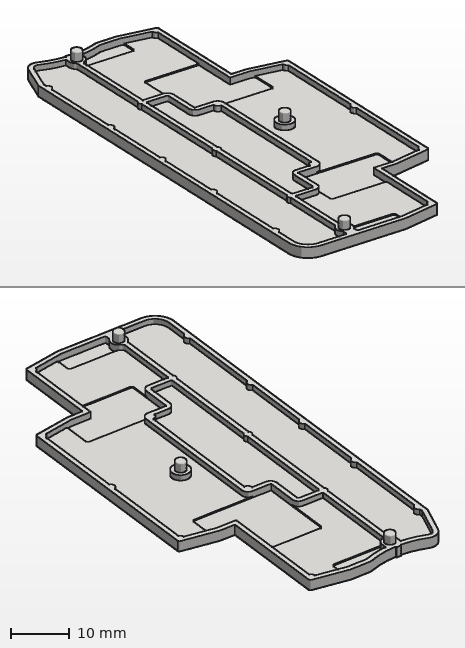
import cadquery as cq
import math

length = 84.4
width = 40.0
pin_top = 4.0
plate_height = 2.1
wall = 1.0
floor_height = 1.0
recess_depth = 0.25

draft = math.tan(math.radians(10))
shoulder_y = 29.2
step_left_x = 22.88
step_right_x = 66.75
side_bend_y = 21.6
step_bend_y = 32.3
side_lean = (shoulder_y - side_bend_y) * draft
step_lean = (width - step_bend_y) * draft
corner_radius = 0.4
end_radius = 4.0

hollow_y = 10.96
hollow_depth = 1.25
hollow_radius = 16.5
upper_bend_radius = 3.0
lower_bend_radius = 2.2
bevel_angle = math.radians(20)

rib = 1.0
rib_y = 10.2
rib_mid_y = rib_y + rib / 2
frame_left_x = 22.2
frame_right_x = 66.7
frame_head_left_x = 29.6
frame_head_right_x = 59.75
frame_shelf_y = 16.7
frame_top_y = 21.9
frame_inner_radius = 0.3
frame_radius = frame_inner_radius + rib

pin_radius = 1.03
pin_rounding = 0.25
boss_radius = 1.6
pin_y = 11.08
left_pin_x = 3.1
right_pin_x = 81.15
boss_web_half = 1.1
web_radius = 0.3
boss_blend_radius = 0.5
center_pin = (42.25, 26.45)
center_boss_radius = 1.8

wall_ejector_radius = 0.85
rib_ejector_radius = 0.75
ejector_wall_inset = 0.7
frame_ejector_inset = 1.1
bottom_ejector_x = [9.05, 27.2, 42.15, 57.15, 75.25]
corner_inset = 0.75

recess_radius = 0.5
large_recess_top_y = 33.3
left_recess_x = 14.8
right_recess_x = 69.5
end_recess_top_y = 22.35
end_recess_left_x = 4.35
end_recess_right_x = 80.0


def hollow_tangent(bend_radius, side):
    """Point where the hollow meets a bend, and the Y of the bend's centre."""
    reach = hollow_radius + bend_radius
    rise = side * math.sqrt(reach**2 - (reach - hollow_depth) ** 2)
    share = bend_radius / reach
    point = (bend_radius - share * (reach - hollow_depth), hollow_y + rise * (1 - share))
    return point, hollow_y + rise


def plate_outline():
    upper_point, upper_y = hollow_tangent(upper_bend_radius, 1)
    lower_point, lower_y = hollow_tangent(lower_bend_radius, -1)
    bevel_x = lower_bend_radius * (1 - math.sin(bevel_angle))
    bevel_y = lower_y - lower_bend_radius * math.cos(bevel_angle)
    arc_mid = end_radius * (1 - math.sqrt(0.5))
    half_turn = math.asin((upper_y - upper_point[1]) / upper_bend_radius) / 2
    upper_mid = (
        upper_bend_radius * (1 - math.cos(half_turn)),
        upper_y - upper_bend_radius * math.sin(half_turn),
    )
    return (
        cq.Workplane("XY")
        .moveTo(bevel_x + bevel_y / math.tan(bevel_angle), 0)
        .lineTo(length - end_radius, 0)
        .threePointArc((length - arc_mid, arc_mid), (length, end_radius))
        .lineTo(length, side_bend_y)
        .lineTo(length - side_lean, shoulder_y)
        .lineTo(step_right_x, shoulder_y)
        .lineTo(step_right_x, step_bend_y)
        .lineTo(step_right_x - step_lean, width)
        .lineTo(step_left_x + step_lean, width)
        .lineTo(step_left_x, step_bend_y)
        .lineTo(step_left_x, shoulder_y)
        .lineTo(side_lean, shoulder_y)
        .lineTo(0, side_bend_y)
        .lineTo(0, upper_y)
        .threePointArc(upper_mid, upper_point)
        .threePointArc((hollow_depth, hollow_y), lower_point)
        .threePointArc((0, lower_y), (bevel_x, bevel_y))
        .close()
    )


def block(x0, x1, y0, y1, height=plate_height):
    return cq.Workplane("XY").box(x1 - x0, y1 - y0, height, centered=False).translate((x0, y0, 0))


def disc(x, y, radius, height=plate_height):
    return cq.Workplane("XY").center(x, y).circle(radius).extrude(height)


def round_corners(body, corners, radius):
    """Fillet the vertical edges that stand at the given XY corners."""
    for x, y in corners:
        selector = cq.selectors.NearestToPointSelector((x, y, body.val().Center().z))
        body = body.edges("|Z").edges(selector).fillet(radius)
    return body


def frame_block(inset, base_y):
    """Stepped block, its sides and top shrunk by inset from the outside of the rib frame."""
    foot = block(frame_left_x + inset, frame_right_x - inset, base_y, frame_shelf_y - inset)
    head = block(frame_head_left_x + inset, frame_head_right_x - inset, base_y, frame_top_y - inset)
    return foot.union(head).clean()


def ribs():
    shelf_corners = [(frame_left_x, frame_shelf_y), (frame_right_x, frame_shelf_y)]
    top_corners = [(frame_head_left_x, frame_top_y), (frame_head_right_x, frame_top_y)]
    frame = round_corners(frame_block(0, rib_mid_y), shelf_corners + top_corners, frame_radius)

    opening_y = rib_y + rib
    inner_shelf_y = frame_shelf_y - rib
    opening = frame_block(rib, opening_y)
    foot_sides = (frame_left_x + rib, frame_right_x - rib)
    head_sides = (frame_head_left_x + rib, frame_head_right_x - rib)
    foot_corners = [(x, y) for x in foot_sides for y in (opening_y, inner_shelf_y)]
    opening = round_corners(opening, foot_corners, frame_inner_radius)
    opening = round_corners(opening, [(x, inner_shelf_y) for x in head_sides], frame_radius)
    return frame.cut(opening).union(block(wall, length - wall, rib_y, rib_y + rib))


def end_bosses():
    left_web = block(hollow_depth, left_pin_x, pin_y - boss_radius, pin_y + boss_radius)
    right_web = block(right_pin_x, length - wall, pin_y - boss_web_half, pin_y + boss_web_half)
    return (
        left_web.union(right_web)
        .union(disc(left_pin_x, pin_y, boss_radius))
        .union(disc(right_pin_x, pin_y, boss_radius))
    )


def ribs_with_bosses():
    """Ribs and end bosses, blended where the long rib runs into each boss."""
    body = ribs().union(end_bosses())
    corners = []
    for y in (rib_y, rib_y + rib):
        reach = math.sqrt(boss_radius**2 - (y - pin_y) ** 2)
        corners.append((left_pin_x + reach, y))
        corners.append((right_pin_x - reach, y))
    return round_corners(body, corners, boss_blend_radius)


def ejectors():
    side_x = side_lean + corner_inset
    shoulder_row_y = shoulder_y - corner_inset
    step_x = step_lean + corner_inset
    top_row_y = width - ejector_wall_inset
    head_row_y = frame_top_y - frame_ejector_inset
    wall_places = [(x, ejector_wall_inset) for x in bottom_ejector_x]
    wall_places += [
        ((step_left_x + step_right_x) / 2, top_row_y),
        (step_left_x + step_x, top_row_y),
        (step_right_x - step_x, top_row_y),
        (side_x, shoulder_row_y),
        (length - side_x, shoulder_row_y),
        (frame_head_left_x + frame_ejector_inset, head_row_y),
        (frame_head_right_x - frame_ejector_inset, head_row_y),
    ]
    rib_places = [
        (frame_left_x + rib / 2, rib_mid_y),
        ((frame_left_x + frame_right_x) / 2, rib_mid_y),
        (frame_right_x - rib / 2, rib_mid_y),
    ]
    pads = cq.Workplane("XY")
    for x, y in wall_places:
        pads = pads.union(disc(x, y, wall_ejector_radius))
    for x, y in rib_places:
        pads = pads.union(disc(x, y, rib_ejector_radius))
    return pads.intersect(plate_outline().extrude(plate_height))


def recess(x0, x1, y0, y1, rounded_corners):
    pocket = block(x0, x1, y0, y1, recess_depth)
    return round_corners(pocket, rounded_corners, recess_radius)


def recesses():
    left_top = (frame_head_left_x, large_recess_top_y)
    left_bottom = (left_recess_x, frame_shelf_y)
    right_top = (frame_head_right_x, large_recess_top_y)
    right_bottom = (right_recess_x, frame_shelf_y)
    left_end_top = (end_recess_left_x, end_recess_top_y)
    right_end_top = (end_recess_right_x, end_recess_top_y)
    pockets = (
        recess(left_recess_x, frame_head_left_x, frame_shelf_y, large_recess_top_y, [left_top, left_bottom])
        .union(recess(frame_head_right_x, right_recess_x, frame_shelf_y, large_recess_top_y,
                      [right_top, right_bottom]))
        .union(recess(0, end_recess_left_x, pin_y, end_recess_top_y, [left_end_top]))
        .union(recess(end_recess_right_x, length, pin_y, end_recess_top_y, [right_end_top]))
    )
    return pockets.translate((0, 0, floor_height - recess_depth))


def pin(x, y):
    return disc(x, y, pin_radius, pin_top).faces(">Z").fillet(pin_rounding)


def outer_plate():
    corners = [
        (side_lean, shoulder_y),
        (length - side_lean, shoulder_y),
        (step_left_x + step_lean, width),
        (step_right_x - step_lean, width),
    ]
    return round_corners(plate_outline().extrude(plate_height), corners, corner_radius)


def floor_cavity():
    """Room inside the wall, with the shallow recesses sunk below the floor."""
    inside = plate_outline().offset2D(-wall, "intersection").extrude(plate_height)
    above_floor = block(0, length, 0, width, plate_height - floor_height).translate((0, 0, floor_height))
    return inside.intersect(above_floor.union(recesses()))


result = outer_plate().cut(floor_cavity())
result = result.union(ribs_with_bosses()).union(ejectors())
result = result.union(disc(*center_pin, center_boss_radius))
web_corners = [(length - wall, pin_y + side * boss_web_half) for side in (-1, 1)]
result = round_corners(result, web_corners, web_radius)
for place in (center_pin, (left_pin_x, pin_y), (right_pin_x, pin_y)):
    result = result.union(pin(*place))